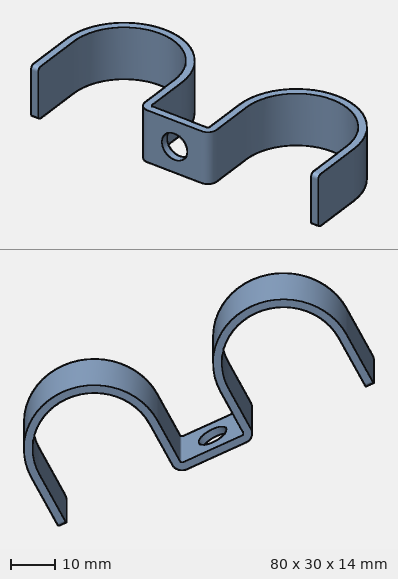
import cadquery as cq

thickness = 2.0
strip_width = 14.0
arch_outer_radius = 16.0
arch_inner_radius = arch_outer_radius - thickness
arch_spacing = 48.0
leg_length = 14.0
bend_inner_radius = 0.5
bend_outer_radius = bend_inner_radius + thickness
hole_diameter = 7.0
tip_fillet = 1.0

arch_center_x = arch_spacing / 2
web_half_length = arch_center_x - arch_inner_radius


def leg(center_x):
    """Straight leg running down from an arch end to Y = -leg_length."""
    return (
        cq.Workplane("XY")
        .center(center_x, -leg_length / 2)
        .rect(thickness, leg_length)
        .extrude(strip_width)
    )


def arch(center_x):
    """Half ring standing on the Y = 0 line."""
    return (
        cq.Workplane("XY", origin=(center_x, 0, 0))
        .moveTo(-arch_outer_radius, 0)
        .threePointArc((0, arch_outer_radius), (arch_outer_radius, 0))
        .lineTo(arch_inner_radius, 0)
        .threePointArc((0, arch_inner_radius), (-arch_inner_radius, 0))
        .close()
        .extrude(strip_width)
    )


def web_with_inner_legs():
    """U-shaped middle of the strip with rounded bends and the screw hole."""
    outer = (
        cq.Workplane("XY")
        .center(0, -leg_length / 2)
        .rect(2 * web_half_length, leg_length)
        .extrude(strip_width)
        .edges("|Z and <Y")
        .fillet(bend_outer_radius)
    )
    inner = (
        cq.Workplane("XY")
        .center(0, thickness - leg_length / 2)
        .rect(2 * (web_half_length - thickness), leg_length)
        .extrude(strip_width)
        .edges("|Z and <Y")
        .fillet(bend_inner_radius)
    )
    hole = (
        cq.Workplane("XZ", origin=(0, 0, strip_width / 2))
        .circle(hole_diameter / 2)
        .extrude(leg_length)
    )
    return outer.cut(inner).cut(hole)


def outer_leg(side):
    """Free leg with the corners of its tip rounded."""
    leg_center_x = arch_center_x + arch_outer_radius - thickness / 2
    return leg(side * leg_center_x).edges("|X and <Y").fillet(tip_fillet)


result = web_with_inner_legs()
for side in (-1, 1):
    result = result.union(arch(side * arch_center_x)).union(outer_leg(side))